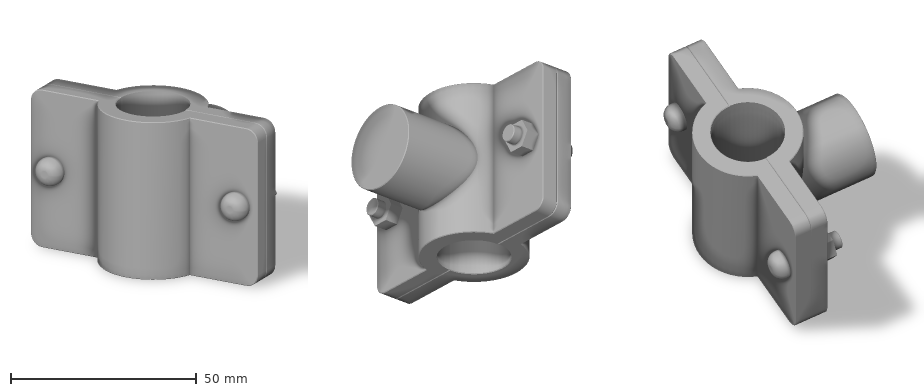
import cadquery as cq

flange_width = 70.0
body_height = 45.0
half_thickness = 5.0
corner_radius = 3.5
sleeve_diameter = 29.95
bore_diameter = 20.0
edge_break = 0.2

branch_diameter = 24.2
branch_end_y = 33.0

bolt_x = 28.55
bolt_diameter = 5.0
bolt_end_y = 11.9
head_diameter = 8.0
head_height = 4.0
head_round = 2.95
nut_height = 4.0
nut_across_flats = 8.0
nut_across_corners = nut_across_flats * 2 / 3**0.5


def cylinder_along_y(diameter, y_start, y_end, x=0.0):
    """Cylinder parallel to Y, centred on Z = 0."""
    plane = cq.Workplane("XZ", origin=(x, y_start, 0))
    return plane.circle(diameter / 2).extrude(y_start - y_end)


def cylinder_along_z(diameter):
    """Cylinder on the Z axis as tall as the body."""
    return cq.Workplane("XY").circle(diameter / 2).extrude(body_height / 2, both=True)


def make_rear_half():
    """Flange plate and half sleeve on the +Y side, with its outer edges broken."""
    flange = (
        cq.Workplane("XY")
        .box(flange_width, half_thickness, body_height, centered=(True, False, True))
        .edges("|Y")
        .fillet(corner_radius)
    )
    rear_space = cq.Workplane("XY").box(
        flange_width, sleeve_diameter, body_height, centered=(True, False, True)
    )
    half = flange.union(cylinder_along_z(sleeve_diameter).intersect(rear_space))
    outer_edges = half.faces("<Y or +Y or >Z or <Z").edges("(not |Z) or >X or <X")
    return outer_edges.chamfer(edge_break).cut(cylinder_along_z(bore_diameter))


def make_front_half(rear_half):
    """Mirror image of the rear half whose bore mouths are also chamfered."""
    front_half = rear_half.mirror("XZ")
    end_arcs = front_half.faces(">Z or <Z").edges("%CIRCLE")
    bore_mouths = end_arcs.edges(cq.selectors.RadiusNthSelector(0))
    return bore_mouths.chamfer(edge_break)


def make_body():
    """Both clamp halves and the branch stub, the stub starting inside the sleeve wall."""
    rear_half = make_rear_half()
    front_half = make_front_half(rear_half)
    branch = cylinder_along_y(branch_diameter, 0, branch_end_y).faces(">Y").chamfer(edge_break)
    wall_middle_diameter = (sleeve_diameter + bore_diameter) / 2
    sleeve_core = cylinder_along_z(wall_middle_diameter)
    return rear_half.union(branch.cut(sleeve_core)).union(front_half)


def make_bolt(x):
    """Bolt through both flanges, with a domed head in front and a hexagon nut behind."""
    shank = cylinder_along_y(bolt_diameter, -half_thickness, bolt_end_y, x)
    shank = shank.faces(">Y").chamfer(edge_break)
    head = cylinder_along_y(head_diameter, -half_thickness - head_height, -half_thickness, x)
    head = head.faces("<Y").edges().fillet(head_round)
    nut = (
        cq.Workplane("XZ", origin=(x, half_thickness, 0))
        .polygon(6, nut_across_corners)
        .extrude(-nut_height)
    )
    return shank.union(head).union(nut)


result = make_body()
for side in (-1, 1):
    result = result.union(make_bolt(side * bolt_x))